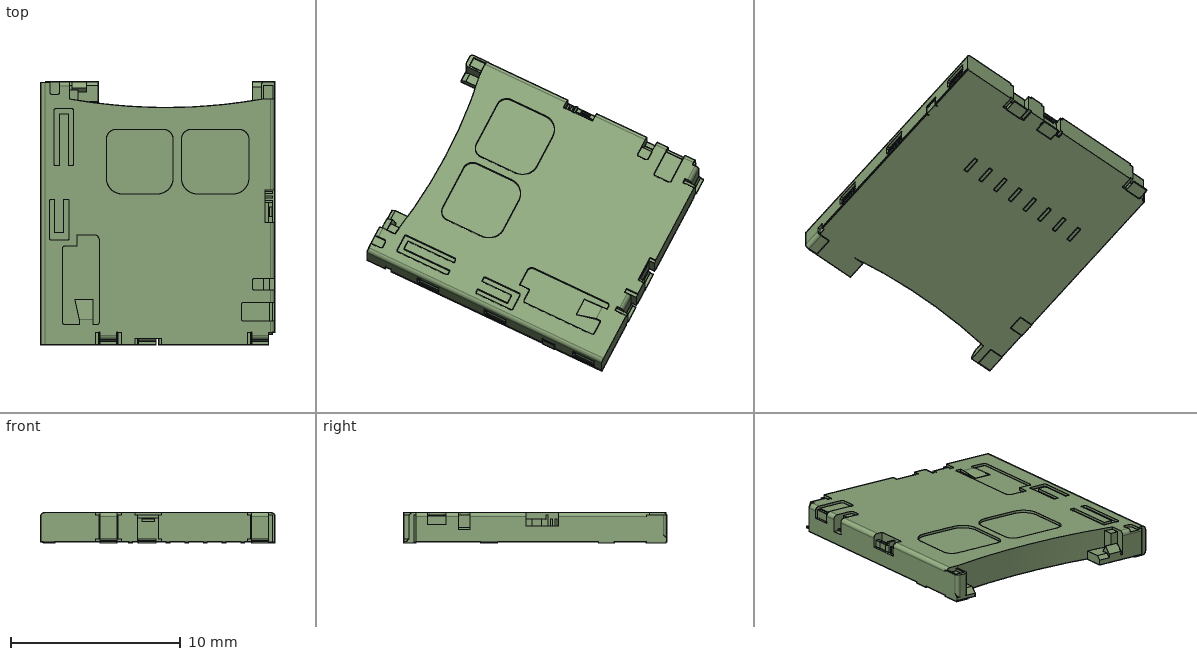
import cadquery as cq


WIDTH = 13.8
LENGTH = 15.5
HEIGHT = 1.8
SHEET = 0.15
STANDOFF = 0.07
EDGE_RADIUS = 0.25
SHELL_BACK = LENGTH - 0.05
CUT = 1.0

EAR_RIGHT = 1.72
EAR_SLOT = (0.56, 1.12)
ENTRY_LEFT = (1.79, 14.46)
ENTRY_LOW = (7.4, 13.97)
ENTRY_RIGHT_X = 13.0
ENTRY_RIGHT = (ENTRY_RIGHT_X, ENTRY_LEFT[1])
TONGUE_TOP = 0.6
LEFT_TONGUE = (1.0, 3.4)
RIGHT_TONGUE = (12.47, WIDTH)
TONGUE_OVERLAP = 1.2

TAB_NOTCH_DEPTH = 0.74
TAB_FACE_Y = 0.31
TAB_BEND_RADIUS = 0.25
TAB_TOP_RELIEF = 0.26
TAB_BOTTOM_RELIEF = 0.26
BOTTOM_RELIEF_TOP = 0.23
FOOT_TOP = 0.24
FOOT_BEND = 0.1
LEFT_TAB = (3.5, 4.5)
RIGHT_TAB = (12.43, 13.42)
CENTRE_FOOT = (5.75, 6.8)
CENTRE_NOTCH = (5.71, 6.95)
CENTRE_TOP_RELIEF = 0.16
CENTRE_NOTCH_DEPTH = 0.37


def box(x, y, z):
    """Axis-aligned box from (low, high) ranges along X, Y and Z."""
    size = (x[1] - x[0], y[1] - y[0], z[1] - z[0])
    return cq.Workplane("XY").box(*size, centered=False).translate((x[0], y[0], z[0]))


def widened(span, margin):
    """Range grown by `margin` at both ends."""
    return (span[0] - margin, span[1] + margin)


def top_pocket(x, y, depth=SHEET):
    """Rectangular cutting tool that sinks `depth` below the top face."""
    return box(x, y, (HEIGHT - depth, HEIGHT + CUT))


def side_profile(points, x):
    """Solid with an outline in the YZ plane, running over the X range."""
    return cq.Workplane("YZ").polyline(points).close().extrude(x[1] - x[0]).translate((x[0], 0, 0))


def make_body():
    """Main block with the arched card-entry edge and bent side edges."""
    body = (
        cq.Workplane("XY", origin=(0, 0, STANDOFF))
        .lineTo(WIDTH, 0)
        .lineTo(WIDTH, ENTRY_RIGHT[1])
        .lineTo(*ENTRY_RIGHT)
        .threePointArc(ENTRY_LOW, ENTRY_LEFT)
        .lineTo(EAR_SLOT[0], ENTRY_LEFT[1])
        .lineTo(EAR_SLOT[0], SHELL_BACK)
        .lineTo(0, SHELL_BACK)
        .close()
        .extrude(HEIGHT - STANDOFF)
    )
    return body.edges("|Y and >Z").edges("<X or >X").fillet(EDGE_RADIUS)


def add_entry_parts(body):
    """Low tongues, latch ramp and corner post along the card-entry edge."""
    back = (LENGTH - TONGUE_OVERLAP, LENGTH)
    for x, bevel in ((LEFT_TONGUE, 0.22), (RIGHT_TONGUE, 0.33)):
        tongue = box(x, back, (STANDOFF, TONGUE_TOP))
        body = body.union(tongue.edges(">Y and >Z").chamfer(bevel))

    ramp_x = (1.84, 2.7)
    ramp_front, ramp_crest, ramp_top = 14.87, 15.12, 1.0
    ramp = [
        (ramp_front, STANDOFF),
        (ramp_front, TONGUE_TOP),
        (ramp_crest, ramp_top),
        (LENGTH, TONGUE_TOP),
        (LENGTH, STANDOFF),
    ]
    body = body.union(side_profile(ramp, ramp_x))

    stop_right, stop_back = 2.22, 15.0
    stop = box((EAR_RIGHT, stop_right), (ENTRY_LEFT[1] - SHEET, stop_back), (STANDOFF, HEIGHT - SHEET))
    body = body.union(stop)

    post_radius = 0.2
    post = box((ENTRY_RIGHT_X, WIDTH), back, (STANDOFF, HEIGHT - SHEET))
    post = post.edges("|Z and >Y").fillet(post_radius)
    rim = 0.12
    floor_x = (ENTRY_RIGHT_X + rim, WIDTH - rim)
    post_floor = box(floor_x, (0, LENGTH - 2 * rim), (HEIGHT - 2 * SHEET, HEIGHT))
    body = body.union(post.cut(post_floor))

    ear_left = 0.3
    ear = box((ear_left, EAR_RIGHT), back, (STANDOFF, HEIGHT))
    body = body.union(ear.edges(">Y and >Z").fillet(EDGE_RADIUS))
    slot_radius, slot_front = 0.12, 14.74
    slot = top_pocket(EAR_SLOT, (slot_front, LENGTH + CUT))
    return body.cut(slot.edges("|Z and <Y").fillet(slot_radius))


def cut_tab_notch(body, tab, x_limit=None):
    """Notch for a front tab: full height, with wider reliefs in the top and bottom sheet."""
    y = (-CUT, TAB_NOTCH_DEPTH)
    wall_gap = 0.06
    layers = (
        (wall_gap, (-CUT, HEIGHT + CUT)),
        (TAB_TOP_RELIEF, (HEIGHT - SHEET, HEIGHT + CUT)),
        (TAB_BOTTOM_RELIEF, (-CUT, BOTTOM_RELIEF_TOP)),
    )
    for margin, z in layers:
        x = widened(tab, margin)
        if x_limit:
            x = (x[0], x_limit)
        body = body.cut(box(x, y, z))
    return body


def make_foot(x):
    """Solder foot reaching from the tab face to the front, with a bent upper edge."""
    foot_sheet = 0.1
    toe_y = 0.2
    foot = box(x, (0, TAB_NOTCH_DEPTH), (0, foot_sheet))
    heel = box(x, (toe_y, TAB_NOTCH_DEPTH), (0, FOOT_TOP))
    return foot.union(heel.edges("<Y and >Z").chamfer(FOOT_BEND))


def add_front_tabs(body):
    """Two bent solder tabs standing in notches of the front face."""
    rooted = TAB_NOTCH_DEPTH + TAB_TOP_RELIEF
    body = cut_tab_notch(body, LEFT_TAB)
    body = cut_tab_notch(body, RIGHT_TAB, WIDTH + CUT)
    housing_x = (RIGHT_TAB[0], WIDTH - SHEET)
    housing_front = 0.62
    body = body.union(box(housing_x, (housing_front, rooted), (STANDOFF, HEIGHT - SHEET)))
    for tab in (LEFT_TAB, RIGHT_TAB):
        bend = box(tab, (TAB_FACE_Y, rooted), (STANDOFF, HEIGHT))
        body = body.union(bend.edges("<Y and >Z").fillet(TAB_BEND_RADIUS))
        body = body.union(make_foot(tab))
    return body


def add_centre_contact(body):
    """Recessed middle contact with an undercut below the top sheet and a latch window."""
    y = (-CUT, CENTRE_NOTCH_DEPTH)
    body = body.cut(box(CENTRE_NOTCH, y, (-CUT, HEIGHT + CUT)))
    top_relief = widened(CENTRE_NOTCH, CENTRE_TOP_RELIEF)
    body = body.cut(box(top_relief, y, (HEIGHT - SHEET, HEIGHT + CUT)))
    bottom_relief = (CENTRE_NOTCH[1], CENTRE_NOTCH[1] + CENTRE_TOP_RELIEF)
    body = body.cut(box(bottom_relief, y, (-CUT, BOTTOM_RELIEF_TOP)))
    recess = (-CUT, CENTRE_NOTCH_DEPTH + SHEET)
    undercut_bottom = 1.47
    body = body.cut(box(CENTRE_NOTCH, recess, (undercut_bottom, HEIGHT - SHEET)))
    latch_x, latch_z = (5.96, 6.7), (1.27, 1.42)
    body = body.cut(box(latch_x, recess, latch_z))
    return body.union(make_foot(CENTRE_FOOT))


def cut_pads(body):
    """Two large rounded windows in the top sheet."""
    pad_y = (8.88, 12.69)
    rear_radius, front_radius = 0.6, 0.95
    for x in ((3.87, 7.81), (8.29, 12.27)):
        pad = top_pocket(x, pad_y)
        pad = pad.edges("|Z and >Y").fillet(rear_radius)
        pad = pad.edges("|Z and <Y").fillet(front_radius)
        body = body.cut(pad)
    return body


def cut_spring_slots(body):
    """U-shaped slots that free a spring finger; each finger is joined at the open end of the U."""
    corner, finger_width = 0.08, 0.54

    rear_x, rear_y = (0.8, 1.94), (10.55, 13.9)
    rear_finger_left, rear_finger_tip = 1.12, 13.58
    rear_slot = top_pocket(rear_x, rear_y).edges("|Z").fillet(corner)
    rear_finger_x = (rear_finger_left, rear_finger_left + finger_width)
    rear_finger = top_pocket(rear_finger_x, (rear_y[0] - CUT, rear_finger_tip))

    front_x, front_y = (0.54, 1.68), (6.17, 8.57)
    front_finger_left, front_finger_tip = 0.82, 6.61
    front_slot = top_pocket(front_x, front_y).edges("|Z").fillet(corner)
    front_finger_x = (front_finger_left, front_finger_left + finger_width)
    front_finger = top_pocket(front_finger_x, (front_finger_tip, front_y[1] + CUT))

    return body.cut(rear_slot.cut(rear_finger)).cut(front_slot.cut(front_finger))


def cut_lever_window(body):
    """Stepped window in the top sheet with a tongue bent down into it."""
    left, step_x, right = 1.3, 2.16, 3.46
    front, step_y, back = 1.2, 5.82, 6.48
    outline = [
        (left, front),
        (right, front),
        (right, back),
        (step_x, back),
        (step_x, step_y),
        (left, step_y),
    ]
    floor = HEIGHT - SHEET
    shoulder_radius, corner_radius = 0.3, 0.13
    window = cq.Workplane("XY", origin=(0, 0, floor)).polyline(outline).close().extrude(SHEET)
    window = window.edges("|Z and >X and >Y").fillet(shoulder_radius)
    window = window.edges("|Z and (<X or <Y)").fillet(corner_radius)
    body = body.cut(window)

    bend_y, tip_y = 1.5, 2.68
    tongue_left, tip_left, tongue_right = 2.28, 2.02, 3.09
    plan = [
        (tongue_left, front),
        (tongue_right, front),
        (tongue_right, tip_y),
        (tip_left, tip_y),
        (tongue_left, bend_y),
    ]
    tip_thickness = 0.02
    slope = [
        (front, floor),
        (front, HEIGHT),
        (bend_y, HEIGHT),
        (tip_y, floor + tip_thickness),
        (tip_y, floor),
    ]
    tongue = cq.Workplane("XY", origin=(0, 0, floor)).polyline(plan).close().extrude(SHEET)
    return body.union(tongue.intersect(side_profile(slope, (tip_left, tongue_right))))


def cut_left_side(body):
    """Catch windows with ramps, a lower tab and the stepped-in bottom of the left wall."""
    step_top, step_inset = 0.2, 0.03
    body = body.cut(box((-CUT, step_inset), (-CUT, LENGTH + CUT), (-CUT, step_top)))

    window_length, margin = 1.43, 0.1
    window_z = (0.49, 1.24)
    ramp_top, ramp_knee = 1.07, 0.76
    ramp_offset = 0.03
    for start in (0.49, 6.31, 10.72):
        window = box((-CUT, SHEET), (start, start + window_length), window_z)
        body = body.cut(window.edges("|X and >Y").chamfer(margin))
        ramp = (
            cq.Workplane("XZ")
            .polyline([
                (SHEET, window_z[0]),
                (ramp_offset, window_z[0]),
                (ramp_offset, ramp_knee),
                (SHEET, ramp_top),
            ])
            .close()
            .extrude(-(window_length - 2 * margin))
            .translate((0, start + margin / 2, 0))
        )
        body = body.union(ramp)

    tab_y = (3.12, 3.88)
    tab_top, tab_bevel, gap = 0.93, 0.18, 0.05
    body = body.cut(box((-CUT, SHEET), widened(tab_y, gap), (-CUT, tab_top)))
    tab = box((0, 2 * SHEET), tab_y, (STANDOFF, tab_top))
    body = body.union(tab.edges("<X and >Z").chamfer(tab_bevel, SHEET - gap))

    notch_y, notch_top = (13.87, 14.25), 0.58
    return body.cut(box((-CUT, SHEET), notch_y, (-CUT, notch_top)))


def cut_right_side(body):
    """Switch notch with its ribs, inspection hole and folded solder tab on the right side."""
    open_right = WIDTH + CUT
    inner_wall = WIDTH - SHEET
    bend_left, bend_drop = 13.49, 0.06

    notch_x, notch_y, notch_floor = (13.21, open_right), (7.21, 9.12), 1.0
    body = body.cut(box(notch_x, notch_y, (notch_floor, HEIGHT + CUT)))
    rib_width, low_top, high_top = 0.12, 1.4, HEIGHT - SHEET
    first_rib = 8.38
    for rib_y, rib_top in ((first_rib, high_top), (8.65, low_top), (8.9, low_top)):
        rib = box((notch_x[0], inner_wall), (rib_y, rib_y + rib_width), (notch_floor, rib_top))
        body = body.union(rib)
    frame_left = 13.42
    frame = box((frame_left, inner_wall), (notch_y[0], first_rib), (notch_floor, low_top))
    window_x, window_y = (13.47, 13.62), (7.55, 8.12)
    body = body.union(frame.cut(box(window_x, window_y, (notch_floor, HEIGHT))))

    hole_y = (3.23, 3.91)
    hole_left, well_left = 12.47, 13.11
    well_depth, outer_well_depth = 0.9, 1.0
    hole_radius = 0.12
    hole = top_pocket((hole_left, open_right), hole_y)
    body = body.cut(hole.edges("|Z and <X").fillet(hole_radius))
    body = body.cut(top_pocket((well_left, open_right), hole_y, well_depth))
    body = body.cut(top_pocket((bend_left, open_right), hole_y, outer_well_depth))

    tab_y = (1.4, 2.5)
    tab_left, fold_bottom = 11.82, 1.1
    recess = box((tab_left, open_right), tab_y, (fold_bottom, HEIGHT + CUT))
    recess = recess.edges("|Z and <X").fillet(hole_radius)
    folded = box((tab_left - CUT, inner_wall), tab_y, (0, HEIGHT - SHEET))
    folded = folded.cut(box((bend_left, WIDTH), tab_y, (HEIGHT - SHEET - bend_drop, HEIGHT)))
    return body.cut(recess.cut(folded))


def add_underside_pads(body):
    """Corner solder pads and the row of contact tails."""
    pad_z = (0, STANDOFF + SHEET)
    corner_pad = 0.85
    pad_y = (14.28, SHELL_BACK)
    body = body.cut(box((-CUT, EDGE_RADIUS), (pad_y[0], LENGTH + CUT), (-CUT, EDGE_RADIUS)))
    rolled_pad = box((0, corner_pad), pad_y, (0, 2 * EDGE_RADIUS))
    body = body.union(rolled_pad.edges("<X and <Z").fillet(EDGE_RADIUS))
    middle_pad_y = (11.46, 12.4)
    for y in (pad_y, middle_pad_y):
        body = body.union(box((WIDTH - corner_pad, WIDTH), y, pad_z))

    contact_count, pitch = 8, 1.1
    first_x, contact_width = 4.2, 0.22
    contact_y = (4.53, 5.54)
    for index in range(contact_count):
        centre = first_x + index * pitch
        x = widened((centre, centre), contact_width / 2)
        body = body.union(box(x, contact_y, pad_z))
    return body


result = make_body()
result = add_entry_parts(result)
result = add_front_tabs(result)
result = add_centre_contact(result)
result = cut_pads(result)
result = cut_spring_slots(result)
result = cut_lever_window(result)
result = cut_left_side(result)
result = cut_right_side(result)
result = add_underside_pads(result)